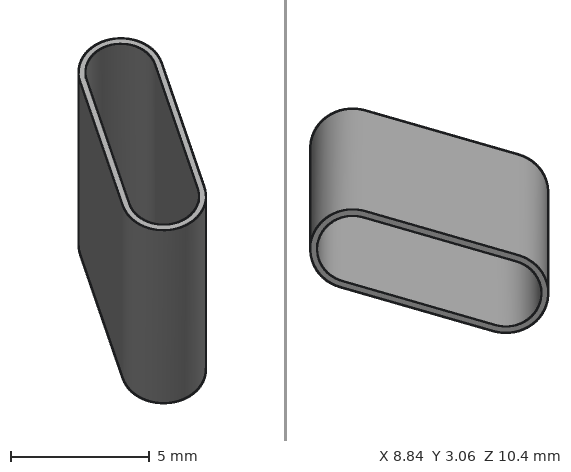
import cadquery as cq

width = 8.84
depth = 3.06
height = 10.45
wall = 0.25


def obround_prism(length, breadth):
    """Upright prism with straight sides and full-round ends, standing on Z = 0."""
    return cq.Workplane("XY").slot2D(length, breadth).extrude(height)


outer_body = obround_prism(width, depth)
through_bore = obround_prism(width - 2 * wall, depth - 2 * wall)

result = outer_body.cut(through_bore)